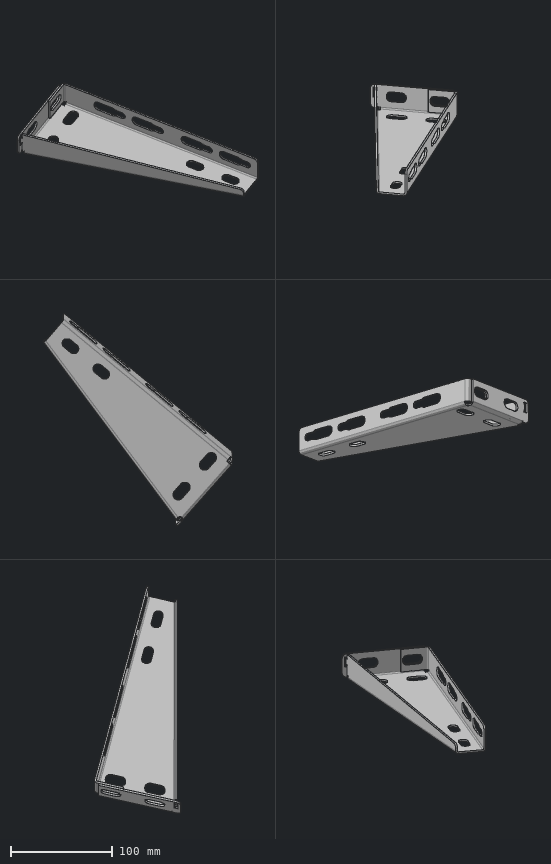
import cadquery as cq
import math


length = 223.5
width = 89.0
height = 27.3
back_end = 223.0
sheet = 2.05
bend = 3.4
slot_height = 15.2

taper_left_x = 3.4
taper_left_y = -84.5
taper_right_y = -30.8
taper_end_height = 10.5
taper_end_radius = 4.5

tongue_reach = 2.5
tongue_low = 15.6
tongue_high = 22.3
window_center_y = -84.2
window_width = 3.8
window_low = 13.6
window_high = 23.7

back_relief_x = 6.5
back_relief_y = 5.4
front_relief_y = -80.7
front_relief_radius = 2.5
front_relief_height = 4.5
front_relief_reach = 1.8

ear_low = 2.2
ear_radius = 4.7

tab_gap = 0.11
tab_length = 29.7
back_corner_radius = 4.0

mount_slot_length = 20.0
mount_slot_width = 10.0
mount_slot_y = [-17.9, -62.5]
base_slot_x = 20.8
base_slot_y = [-17.7, -57.7]
tip_slot_length = 18.0
tip_slot_width = 9.4
tip_slot_x = [160.5, 200.5]
tip_slot_y = -16.0
key_left_x = [38.2, 81.3, 136.8, 179.9]
key_length = 35.0
key_wide_length = 25.7
key_wide = 10.3
key_narrow = 7.4

taper_angle = math.atan2(taper_right_y - taper_left_y, length - taper_left_x)
along = cq.Vector(math.cos(taper_angle), math.sin(taper_angle), 0)
inward = cq.Vector(-math.sin(taper_angle), math.cos(taper_angle), 0)
taper_start = cq.Vector(taper_left_x, taper_left_y, 0)
taper_end = cq.Vector(length, taper_right_y, 0)
taper_length = (taper_end - taper_start).Length
base_tip = taper_end + inward * bend
base_corner_y = base_tip.y - (base_tip.x - bend) * math.tan(taper_angle)


def folded_strip(plane, leg, run):
    """Quarter bend with an upright leg; local x points inward, local y up the leg."""
    inner = bend - sheet
    mid_outer = bend - bend * math.sqrt(0.5)
    mid_inner = bend - inner * math.sqrt(0.5)
    return (
        cq.Workplane(plane)
        .moveTo(bend, 0)
        .threePointArc((mid_outer, mid_outer), (0, bend))
        .lineTo(0, leg)
        .lineTo(sheet, leg)
        .lineTo(sheet, bend)
        .threePointArc((mid_inner, mid_inner), (bend, sheet))
        .close()
        .extrude(run)
    )


def make_base():
    outline = [(bend, -bend), (back_end, -bend), (base_tip.x, base_tip.y), (bend, base_corner_y)]
    base = cq.Workplane("XY").polyline(outline).close().extrude(sheet)
    root_slots = (
        cq.Workplane("XY")
        .pushPoints([(base_slot_x, y) for y in base_slot_y])
        .slot2D(mount_slot_length, mount_slot_width, 90)
        .extrude(sheet)
    )
    tip_slots = (
        cq.Workplane("XY")
        .pushPoints([(x, tip_slot_y) for x in tip_slot_x])
        .slot2D(tip_slot_length, tip_slot_width)
        .extrude(sheet)
    )
    return base.cut(root_slots).cut(tip_slots)


def keyhole(left_x):
    """Wide slot running into a narrower one, cut through the back flange."""
    plane = cq.Workplane("XZ")
    wide_center = left_x + key_wide_length / 2
    wide = (
        plane.center(wide_center, slot_height)
        .slot2D(key_wide_length, key_wide)
        .extrude(sheet)
    )
    narrow_length = left_x + key_length - wide_center
    narrow = (
        plane.center(wide_center + narrow_length / 2, slot_height)
        .slot2D(narrow_length, key_narrow)
        .extrude(sheet)
    )
    return wide.union(narrow)


def make_back_flange():
    start_x = sheet + tab_gap + bend
    plane = cq.Plane(origin=(back_end, 0, 0), xDir=(0, -1, 0), normal=(-1, 0, 0))
    flange = folded_strip(plane, height, back_end - start_x)
    flange = flange.edges("|Y").edges(">X and >Z").fillet(back_corner_radius)
    for left_x in key_left_x:
        flange = flange.cut(keyhole(left_x))
    return flange


def make_return_tab():
    plane = cq.Plane(origin=(sheet + tab_gap, 0, height), xDir=(1, 0, 0), normal=(0, 0, -1))
    return folded_strip(plane, tab_length, height - bend)


def make_mounting_flange():
    plane = cq.Plane(origin=(0, -back_relief_y, 0), xDir=(1, 0, 0), normal=(0, -1, 0))
    flange = folded_strip(plane, height, -back_relief_y - front_relief_y)
    ear = (
        cq.Workplane("XY", origin=(0, -width, ear_low))
        .box(sheet, width + front_relief_y, height - ear_low, centered=False)
        .edges("|X and <Y")
        .fillet(ear_radius)
    )
    window = (
        cq.Workplane("XY", origin=(0, window_center_y - window_width / 2, window_low))
        .box(sheet, window_width, window_high - window_low, centered=False)
    )
    return flange.union(ear).cut(window)


def make_tapered_flange():
    start = taper_start - along * tongue_reach
    plane = cq.Plane(origin=start.toTuple(), xDir=inward.toTuple(), normal=along.toTuple())
    strip = folded_strip(plane, height, taper_length + tongue_reach)
    side = cq.Plane(
        origin=taper_start.toTuple(), xDir=along.toTuple(), normal=(-inward).toTuple()
    )
    outline = [
        (front_relief_reach, 0),
        (taper_length, 0),
        (taper_length, taper_end_height),
        (0, height),
        (0, tongue_high),
        (-tongue_reach, tongue_high),
        (-tongue_reach, tongue_low),
        (0, tongue_low),
        (0, front_relief_height),
        (front_relief_reach, front_relief_height),
    ]
    blank = cq.Workplane(side).polyline(outline).close().extrude(-bend)
    end_corner = cq.Vector(length, taper_right_y, taper_end_height)
    corner_middle = end_corner + inward * (bend / 2)
    corner_edge = cq.selectors.NearestToPointSelector(corner_middle.toTuple())
    return strip.intersect(blank.edges(corner_edge).fillet(taper_end_radius))


def make_corner_reliefs():
    back = (
        cq.Workplane("XY", origin=(0, -back_relief_y, 0))
        .box(back_relief_x, back_relief_y, bend, centered=False)
    )
    front = (
        cq.Workplane("XY", origin=(bend, front_relief_y, 0))
        .circle(front_relief_radius)
        .extrude(bend)
    )
    return back.union(front)


def make_mounting_slots():
    return (
        cq.Workplane("YZ")
        .pushPoints([(y, slot_height) for y in mount_slot_y])
        .slot2D(mount_slot_length, mount_slot_width)
        .extrude(2 * sheet + tab_gap)
    )


result = (
    make_base()
    .union(make_back_flange())
    .union(make_mounting_flange())
    .union(make_tapered_flange())
    .cut(make_corner_reliefs())
    .union(make_return_tab())
    .cut(make_mounting_slots())
)